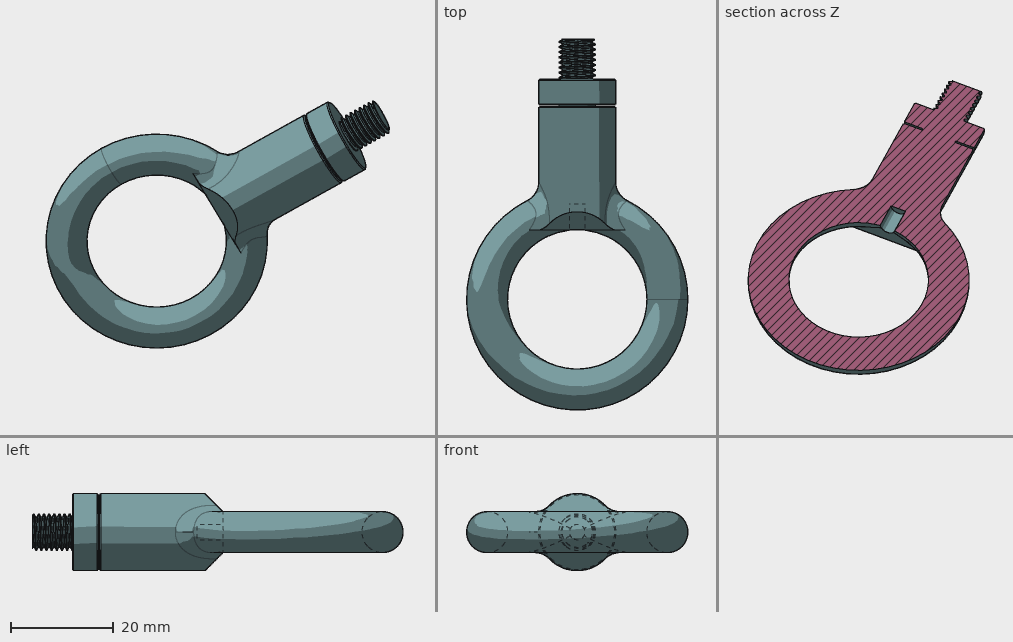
import cadquery as cq
ring_outer_diameter = 43.0
ring_wire_diameter = 8.0
wire_radius = ring_wire_diameter / 2
ring_mean_radius = ring_outer_diameter / 2 - wire_radius
ring_inner_radius = ring_mean_radius - wire_radius

overall_length = 72.0
shank_diameter = 15.0
shank_radius = shank_diameter / 2
stud_length = 7.75
stud_end_y = overall_length - ring_outer_diameter / 2
collar_end_y = stud_end_y - stud_length
collar_length = 5.05
collar_chamfer = 0.25
gap_width = 0.25
junction_fillet = 4.0

foot_y = ring_inner_radius
bevel_size = shank_radius - wire_radius

hole_diameter = 3.0
hole_depth = 5.0

thread_diameter = 7.1
thread_pitch = 1.0
thread_depth = 0.6
thread_crest_width = 0.15
thread_root_width = 0.8
thread_root_radius = thread_diameter / 2 - thread_depth
thread_overlap = 0.1
stud_chamfer = 0.3
thread_run_in_turns = 1.25
thread_start_y = collar_end_y - thread_run_in_turns * thread_pitch


def rod(diameter, start_y, end_y):
    """Round bar along the Y axis."""
    start_plane = cq.Plane(origin=(0, start_y, 0), xDir=(0, 0, 1), normal=(0, 1, 0))
    return cq.Workplane(start_plane).circle(diameter / 2).extrude(end_y - start_y)


def make_ring():
    """Closed ring of round wire around the Z axis."""
    wire_section = cq.Workplane("XZ").center(ring_mean_radius, 0).circle(wire_radius)
    return wire_section.revolve(360, (-ring_mean_radius, 0, 0), (-ring_mean_radius, 1, 0))


def join_shank(ring):
    """Fuse the shank to the ring and fillet where its sides meet, leaving the foot edges sharp."""
    joined = ring.union(rod(shank_diameter, foot_y, collar_end_y))
    above_foot_y = foot_y + wire_radius / 4
    junction_zone = cq.selectors.BoxSelector(
        (-shank_diameter, above_foot_y, -wire_radius),
        (shank_diameter, ring_mean_radius + wire_radius, wire_radius),
    )
    junctions = joined.edges("%BSPLINE").edges(junction_zone)
    return junctions.fillet(junction_fillet)


def bevel_cutter():
    """Prism that bevels the upper side of the foot."""
    outer_z = wire_radius + 2 * bevel_size
    profile = cq.Workplane("YZ").moveTo(foot_y, wire_radius)
    profile = profile.lineTo(foot_y + 2 * bevel_size, outer_z).lineTo(foot_y, outer_z).close()
    return profile.extrude(shank_diameter, both=True)


def bevel_foot(body):
    """Bevel the foot above and below the ring."""
    upper = bevel_cutter()
    return body.cut(upper).cut(upper.mirror("XY"))


def gap_cutter():
    """Narrow gap between collar and shank, down to the neck, with both rims chamfered."""
    gap_end_y = collar_end_y - collar_length
    gap_start_y = gap_end_y - gap_width
    neck_radius = thread_diameter / 2
    chamfer_radius = shank_radius - collar_chamfer
    outer_radius = shank_radius + collar_chamfer
    profile = cq.Workplane("XY").polyline([
        (neck_radius, gap_start_y),
        (chamfer_radius, gap_start_y),
        (outer_radius, gap_start_y - 2 * collar_chamfer),
        (outer_radius, gap_end_y + 2 * collar_chamfer),
        (chamfer_radius, gap_end_y),
        (neck_radius, gap_end_y),
    ]).close()
    return profile.revolve(360, (0, 0, 0), (0, 1, 0))


def make_stud():
    """Threaded stud, trimmed to length with a chamfered tip."""
    ridge_height = stud_end_y - thread_start_y + thread_pitch
    helix = cq.Wire.makeHelix(thread_pitch, ridge_height, thread_root_radius)
    root_x = thread_root_radius - thread_overlap
    ridge_section = cq.Workplane("XZ").polyline([
        (root_x, -thread_root_width / 2),
        (thread_diameter / 2, -thread_crest_width / 2),
        (thread_diameter / 2, thread_crest_width / 2),
        (root_x, thread_root_width / 2),
    ]).close()
    ridge = ridge_section.sweep(cq.Workplane(helix), isFrenet=True)
    ridge = ridge.rotate((0, 0, 0), (1, 0, 0), -90).translate((0, thread_start_y, 0))
    core = rod(2 * thread_root_radius, collar_end_y - thread_pitch, stud_end_y + thread_pitch)
    trim = rod(thread_diameter, collar_end_y - thread_pitch / 2, stud_end_y)
    trim = trim.faces(">Y").edges().chamfer(stud_chamfer)
    return core.union(ridge).intersect(trim)


body = join_shank(make_ring())
body = bevel_foot(body)
body = body.faces(">Y").edges().chamfer(collar_chamfer)
body = body.cut(gap_cutter())
body = body.cut(rod(hole_diameter, foot_y - hole_diameter / 2, foot_y + hole_depth))
result = body.union(make_stud())